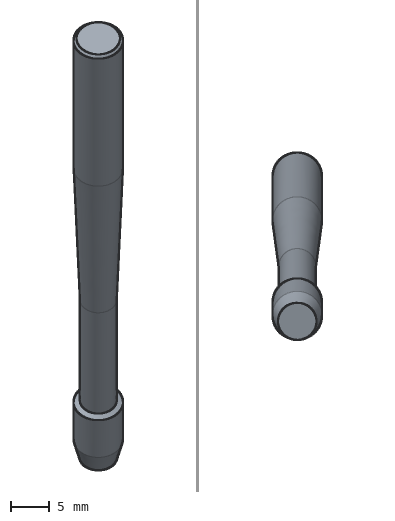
import cadquery as cq

TOTAL_LENGTH = 80.0
HEAD_RADIUS = 3.2
STEM_RADIUS = 2.4

NOSE_RADIUS = 2.5
NOSE_LENGTH = 3.3
BARREL_TOP = 10.4
SHOULDER_HEIGHT = 0.4
TIP_LENGTH = BARREL_TOP + SHOULDER_HEIGHT

TAPER_BOTTOM = 30.1
TAPER_TOP = 55.2
TOP_CHAMFER = 0.4


def revolve_profile(points):
    """Turn a closed outline of (radius, height) points around the Z axis."""
    return cq.Workplane("XZ").polyline(points).close().revolve(360, (0, 0, 0), (0, 1, 0))


def make_tip():
    """Solid tip whose shoulder narrows to the stem radius at its flat top."""
    return revolve_profile([
        (0, 0),
        (NOSE_RADIUS, 0),
        (HEAD_RADIUS, NOSE_LENGTH),
        (HEAD_RADIUS, BARREL_TOP),
        (STEM_RADIUS, TIP_LENGTH),
        (0, TIP_LENGTH),
    ])


def make_handle():
    """Round handle that tapers down to a slim stem standing on the tip."""
    handle = revolve_profile([
        (0, TIP_LENGTH),
        (STEM_RADIUS, TIP_LENGTH),
        (STEM_RADIUS, TAPER_BOTTOM),
        (HEAD_RADIUS, TAPER_TOP),
        (HEAD_RADIUS, TOTAL_LENGTH),
        (0, TOTAL_LENGTH),
    ])
    return handle.faces(">Z").edges().chamfer(TOP_CHAMFER)


tip = make_tip()
handle = make_handle()

result = cq.Compound.makeCompound([tip.val(), handle.val()])